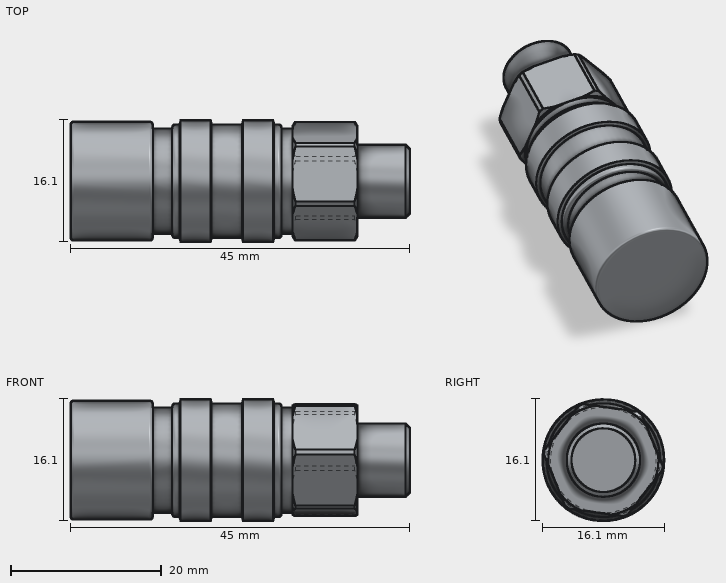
import cadquery as cq
import math

total_length = 45.0
cap_end = 10.9
sleeve_start = 13.45
sleeve_end = 27.95
hex_start = 29.45
hex_end = 38.0

cap_diameter = 15.8
neck_diameter = 14.0
sleeve_diameter = 15.1
ring_diameter = 16.15
stem_diameter = 9.72

cap_fillet = 0.45
sleeve_fillet = 0.45
stem_chamfer = 0.65

ring_starts = (14.45, 22.75)
ring_base_width = 4.25
ring_side_taper = 0.15

hex_across_flats = 14.0
hex_corner_diameter = 15.8
hex_end_diameter = 14.6
hex_chamfer_angle = 30.0
hex_rotation = 7.8


def cylinder(start, end, diameter):
    """Cylinder on the X axis between two stations."""
    return cq.Workplane("YZ").workplane(offset=start).circle(diameter / 2).extrude(end - start)


def revolve_profile(points):
    """Solid of revolution about X from (x, radius) points."""
    return cq.Workplane("XY").polyline(points).close().revolve(360, (0, 0, 0), (1, 0, 0))


def grip_ring(start):
    end = start + ring_base_width
    return revolve_profile([
        (start, 0),
        (start, sleeve_diameter / 2),
        (start + ring_side_taper, ring_diameter / 2),
        (end - ring_side_taper, ring_diameter / 2),
        (end, sleeve_diameter / 2),
        (end, 0),
    ])


def hexagon():
    sharp_corner_diameter = hex_across_flats / math.cos(math.pi / 6)
    prism = (
        cq.Workplane("YZ")
        .workplane(offset=hex_start)
        .polygon(6, sharp_corner_diameter)
        .extrude(hex_end - hex_start)
        .rotate((0, 0, 0), (1, 0, 0), -hex_rotation)
    )
    end_radius = hex_end_diameter / 2
    corner_radius = hex_corner_diameter / 2
    chamfer_length = (corner_radius - end_radius) * math.tan(math.radians(hex_chamfer_angle))
    envelope = revolve_profile([
        (hex_start, 0),
        (hex_start, end_radius),
        (hex_start + chamfer_length, corner_radius),
        (hex_end - chamfer_length, corner_radius),
        (hex_end, end_radius),
        (hex_end, 0),
    ])
    return prism.intersect(envelope)


cap = cylinder(0, cap_end, cap_diameter).edges().fillet(cap_fillet)
neck = cylinder(cap_end / 2, hex_start, neck_diameter)
sleeve = cylinder(sleeve_start, sleeve_end, sleeve_diameter).edges().fillet(sleeve_fillet)
stem = cylinder(hex_start, total_length, stem_diameter).faces(">X").chamfer(stem_chamfer)

result = cap.union(neck).union(sleeve)
for ring_start in ring_starts:
    result = result.union(grip_ring(ring_start))
result = result.union(hexagon()).union(stem)